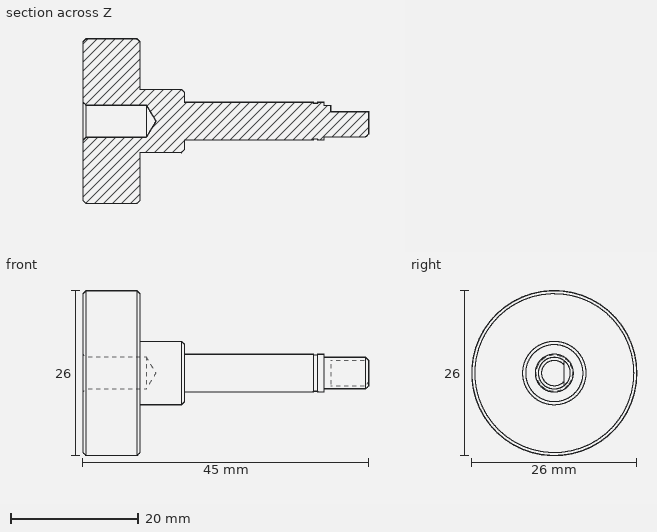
import cadquery as cq
import math

knob_length = 9.0
hub_end = 16.0
groove_start = 36.25
groove_width = 0.68
shaft_end = 38.0
flat_start = 39.0
total_length = 45.0

knob_diameter = 26.0
hub_diameter = 10.0
shaft_diameter = 6.0
groove_diameter = 5.7
tip_diameter = 5.0
hole_diameter = 5.0

chamfer = 0.5
flat_depth = 1.0
hole_depth = 10.0
drill_point_angle = 118.0


def cylinder(start, end, diameter):
    """Solid cylinder on the X axis between two axial positions."""
    return cq.Workplane("YZ", origin=(start, 0, 0)).circle(diameter / 2).extrude(end - start)


def turned_body():
    """Knob, hub, shaft and tip, with their chamfered ends."""
    knob = cylinder(0, knob_length, knob_diameter).edges().chamfer(chamfer)
    hub = cylinder(knob_length, hub_end, hub_diameter).faces(">X").edges().chamfer(chamfer)
    shaft = cylinder(hub_end, shaft_end, shaft_diameter)
    tip = cylinder(shaft_end, total_length, tip_diameter).faces(">X").edges().chamfer(chamfer)
    return knob.union(hub).union(shaft).union(tip)


def retaining_groove():
    """Shallow ring cut around the shaft near its shoulder."""
    groove_end = groove_start + groove_width
    outer = cylinder(groove_start, groove_end, knob_diameter)
    return outer.cut(cylinder(groove_start, groove_end, groove_diameter))


def tip_flat():
    """Block that removes the +Y side of the tip."""
    flat_height = tip_diameter / 2 - flat_depth
    return cq.Workplane("XY", origin=(flat_start, flat_height, 0)).box(
        total_length - flat_start, tip_diameter, tip_diameter, centered=(False, False, True)
    )


def knob_hole():
    """Blind drilled hole with a countersunk mouth and conical bottom."""
    radius = hole_diameter / 2
    point_depth = radius / math.tan(math.radians(drill_point_angle / 2))
    profile = (
        cq.Workplane("XY")
        .lineTo(0, radius + chamfer)
        .lineTo(chamfer, radius)
        .lineTo(hole_depth, radius)
        .lineTo(hole_depth + point_depth, 0)
        .close()
    )
    return profile.revolve(360, (0, 0, 0), (1, 0, 0))


result = turned_body().cut(retaining_groove()).cut(tip_flat()).cut(knob_hole())